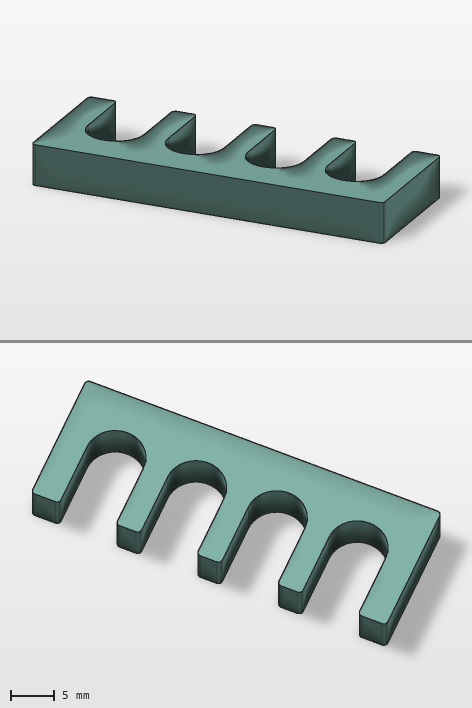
import cadquery as cq

length = 44.0
width = 16.0
thickness = 5.0
corner_radius = 0.5

slot_count = 4
slot_width = 7.0
slot_pitch = 10.0
slot_depth = 11.5
slot_radius = slot_width / 2


def make_plate():
    """Rectangular plate centred on X and Y, resting on Z = 0."""
    return cq.Workplane("XY").box(length, width, thickness, centered=(True, True, False))


def make_slot(center_x):
    """Cutter for one slot: straight walls ending in a half-round bottom."""
    left = center_x - slot_radius
    right = center_x + slot_radius
    mouth_y = width / 2
    bottom_y = mouth_y - slot_depth
    arc_center_y = bottom_y + slot_radius
    return (
        cq.Workplane("XY")
        .moveTo(left, mouth_y)
        .lineTo(left, arc_center_y)
        .threePointArc((center_x, bottom_y), (right, arc_center_y))
        .lineTo(right, mouth_y)
        .close()
        .extrude(thickness)
    )


def round_corners(body):
    """Round the upright edges at the finger tips and the back corners."""
    return body.faces(">Y or <Y").edges("|Z").fillet(corner_radius)


comb = make_plate()
for index in range(slot_count):
    offset = index - (slot_count - 1) / 2
    comb = comb.cut(make_slot(offset * slot_pitch))

result = round_corners(comb)